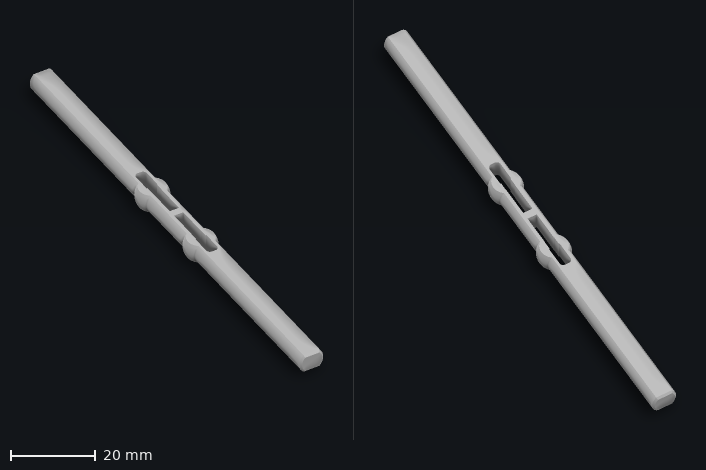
import cadquery as cq

bar_length = 125.0
rod_diameter = 6.6
flat_thickness = 5.0
end_chamfer = 0.5

ball_diameter = 8.6
ball_spacing = 22.2

web_thickness = 2.0
slot_first_step = 9.05
slot_second_step = 11.2
slot_end = 17.2
slot_inner_width = 2.5
slot_middle_width = 2.6
slot_outer_width = 3.0
slot_corner_radius = 1.0


def rod():
    """Rod along X, cut to its flats and chamfered all around both ends."""
    cylinder = cq.Workplane("YZ").circle(rod_diameter / 2).extrude(bar_length / 2, both=True)
    flats = cq.Workplane("XY").box(bar_length, rod_diameter, flat_thickness)
    return cylinder.intersect(flats).faces("<X or >X").chamfer(end_chamfer)


def ball(side):
    """Sphere trimmed level with the flats of the rod."""
    sphere = cq.Workplane("XY").sphere(ball_diameter / 2)
    flats = cq.Workplane("XY").box(ball_diameter, ball_diameter, flat_thickness)
    return sphere.intersect(flats).translate((side * ball_spacing / 2, 0, 0))


def slot_section(side, start, end, width):
    """Full-height block between two distances from the middle of the bar."""
    centre = side * (start + end) / 2
    return cq.Workplane("XY").box(end - start, width, flat_thickness).translate((centre, 0, 0))


def slot(side):
    """Slot that widens away from the web and has rounded corners at its outer end."""
    inner = slot_section(side, web_thickness / 2, slot_first_step, slot_inner_width)
    middle = slot_section(side, slot_first_step, slot_second_step, slot_middle_width)
    outer = slot_section(side, slot_second_step, slot_end, slot_outer_width)
    outer_end = ">X" if side > 0 else "<X"
    outer = outer.faces(outer_end).edges("|Z").fillet(slot_corner_radius)
    return inner.union(middle).union(outer)


result = rod()
for side in (-1, 1):
    result = result.union(ball(side)).cut(slot(side))